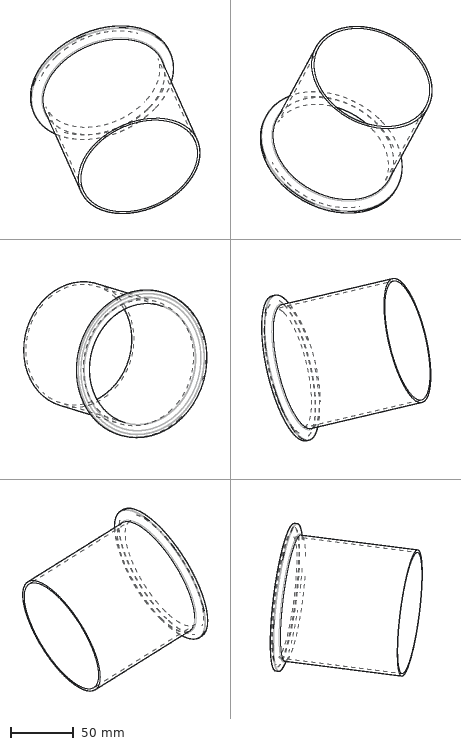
import cadquery as cq
import math

LENGTH = 101.6
TUBE_DIAMETER = 101.6
BORE_DIAMETER = 97.38
FLANGE_DIAMETER = 118.92

RIM_THICKNESS = 2.84
CONE_ANGLE = 20.0
FACE_EDGE_RADIUS = 0.4
BACK_EDGE_RADIUS = 0.5
BORE_EDGE_RADIUS = 0.4
NECK_RADIUS = 1.1

GROOVE_MIDDLE_DIAMETER = 110.6
GROOVE_DEPTH = 1.0
GROOVE_ARC_RADIUS = 1.48
GROOVE_LIP_RADIUS = 0.5

TUBE_RADIUS = TUBE_DIAMETER / 2
FLANGE_RADIUS = FLANGE_DIAMETER / 2
CONE_RISE = FLANGE_RADIUS - TUBE_RADIUS
CONE_END = RIM_THICKNESS + CONE_RISE * math.tan(math.radians(CONE_ANGLE))

X_AXIS = ((0, 0, 0), (1, 0, 0))


def round_circle(body, x, radius, fillet_radius):
    """Fillet the one circular edge of this radius that lies in the plane at x."""
    tolerance = 0.01
    reach = radius + tolerance
    box = cq.selectors.BoxSelector(
        (x - tolerance, -reach, -reach),
        (x + tolerance, reach, reach),
        boundingbox=True,
    )
    largest = cq.selectors.RadiusNthSelector(-1)
    return body.edges(box).edges(largest).fillet(fillet_radius)


def make_outer_body():
    """Solid tube with the tapered clamp flange at its -X end."""
    return (
        cq.Workplane("XY")
        .moveTo(0, 0)
        .lineTo(0, FLANGE_RADIUS)
        .lineTo(RIM_THICKNESS, FLANGE_RADIUS)
        .lineTo(CONE_END, TUBE_RADIUS)
        .lineTo(LENGTH, TUBE_RADIUS)
        .lineTo(LENGTH, 0)
        .close()
        .revolve(360, *X_AXIS)
    )


def make_bore():
    """Straight bore through the full length."""
    return cq.Workplane("YZ").circle(BORE_DIAMETER / 2).extrude(LENGTH)


def make_gasket_groove():
    """Ring with an arc-shaped section and rounded lips, sunk into the flange face."""
    middle = GROOVE_MIDDLE_DIAMETER / 2
    arc_center_x = GROOVE_DEPTH - GROOVE_ARC_RADIUS

    center_distance = GROOVE_ARC_RADIUS + GROOVE_LIP_RADIUS
    center_rise = GROOVE_LIP_RADIUS - arc_center_x
    lip_offset = math.sqrt(center_distance**2 - center_rise**2)
    arc_share = GROOVE_ARC_RADIUS / center_distance
    joint_x = arc_center_x + center_rise * arc_share
    joint_offset = lip_offset * arc_share
    inner_joint = (joint_x, middle - joint_offset)
    outer_joint = (joint_x, middle + joint_offset)

    return (
        cq.Workplane("XY")
        .moveTo(0, middle - lip_offset)
        .radiusArc(inner_joint, GROOVE_LIP_RADIUS)
        .threePointArc((GROOVE_DEPTH, middle), outer_joint)
        .radiusArc((0, middle + lip_offset), GROOVE_LIP_RADIUS)
        .close()
        .revolve(360, *X_AXIS)
    )


def round_edges(body):
    """Round the rim, the neck and the bore mouth."""
    for x, edge_radius, fillet_radius in (
        (CONE_END, TUBE_RADIUS, NECK_RADIUS),
        (RIM_THICKNESS, FLANGE_RADIUS, BACK_EDGE_RADIUS),
        (0, FLANGE_RADIUS, FACE_EDGE_RADIUS),
        (0, BORE_DIAMETER / 2, BORE_EDGE_RADIUS),
    ):
        body = round_circle(body, x, edge_radius, fillet_radius)
    return body


result = round_edges(make_outer_body().cut(make_bore()).cut(make_gasket_groove()))